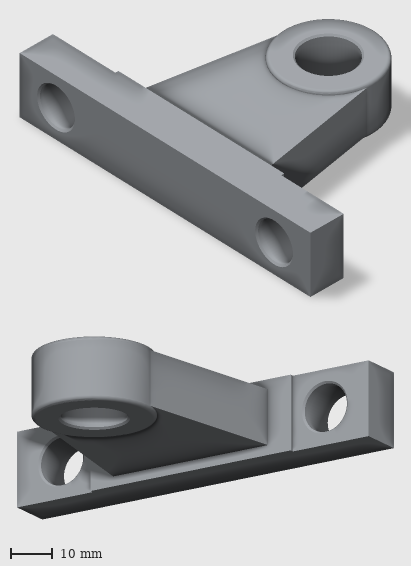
import cadquery as cq
import math

plate_length = 100.0
plate_thickness = 11.0
plate_height = 19.0
pad_length = 57.0
pad_thickness = 1.0
pad_face = plate_thickness + pad_thickness

hole_diameter = 12.0
hole_spacing = 75.0
hole_chamfer = 0.5

boss_diameter = 30.0
boss_height = 16.0
boss_edge = 1.0
boss_center_y = 54.0
bore_diameter = 16.0
bore_chamfer = 0.5

arm_thickness = 14.0
arm_base_width = 44.0
arm_end_y = 52.4


def make_base():
    plate = cq.Workplane("XY").box(
        plate_length, plate_thickness, plate_height, centered=(True, False, True)
    )
    pad = cq.Workplane("XY").box(
        pad_length, pad_face, plate_height, centered=(True, False, True)
    )
    return plate.union(pad)


def make_arm():
    boss_radius = boss_diameter / 2
    end_half_width = math.sqrt(boss_radius**2 - (boss_center_y - arm_end_y) ** 2)
    base_half_width = arm_base_width / 2
    return (
        cq.Workplane("XY")
        .moveTo(-base_half_width, pad_face)
        .lineTo(base_half_width, pad_face)
        .lineTo(end_half_width, arm_end_y)
        .lineTo(-end_half_width, arm_end_y)
        .close()
        .extrude(arm_thickness / 2, both=True)
    )


def make_boss():
    return (
        cq.Workplane("XY")
        .center(0, boss_center_y)
        .circle(boss_diameter / 2)
        .extrude(boss_height / 2, both=True)
        .edges("%CIRCLE")
        .fillet(boss_edge)
    )


def chamfered_pin(diameter, length, chamfer):
    """Cutter along +Z from the origin that flares at both ends."""
    radius = diameter / 2
    flare_radius = radius + chamfer
    profile = [
        (0, 0),
        (flare_radius, 0),
        (radius, chamfer),
        (radius, length - chamfer),
        (flare_radius, length),
        (0, length),
    ]
    return cq.Workplane("XZ").polyline(profile).close().revolve(360, (0, 0), (0, 1))


def cut_bore(body):
    pin = chamfered_pin(bore_diameter, boss_height, bore_chamfer)
    return body.cut(pin.translate((0, boss_center_y, -boss_height / 2)))


def cut_mounting_holes(body):
    pin = chamfered_pin(hole_diameter, plate_thickness, hole_chamfer)
    pin = pin.rotate((0, 0, 0), (1, 0, 0), -90)
    for side in (-1, 1):
        body = body.cut(pin.translate((side * hole_spacing / 2, 0, 0)))
    return body


result = make_base().union(make_arm()).union(make_boss())
result = cut_bore(result)
result = cut_mounting_holes(result)